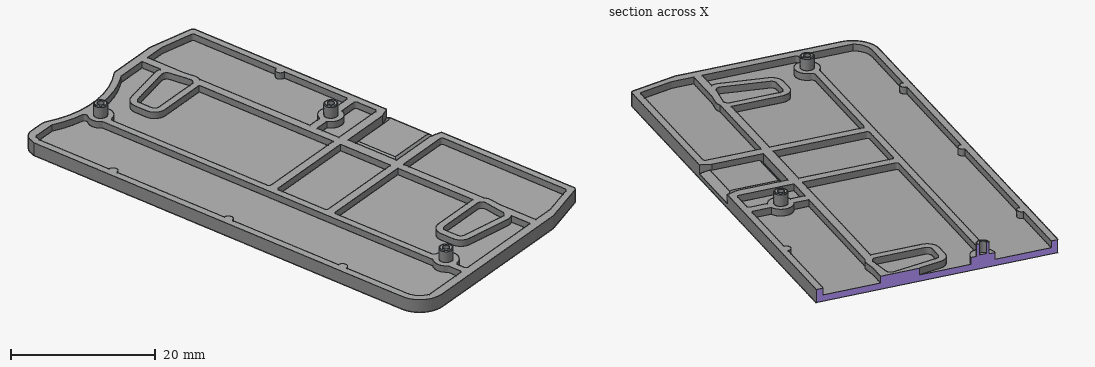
import cadquery as cq
import math

length = 70.3
width = 36.5
plate_height = 2.1
floor_height = 1.05

corner_run = 1.75
corner_drop = 7.45
corner_fillet = 0.55
bite_low_y = 5.0
bite_high_y = 20.95
bite_depth = 2.4
bite_low_fillet = 1.75
bite_high_fillet = 0.6
left_corner_height = 2.2
left_corner_length = 2.2
left_corner_radius = 2.0
left_corner_arc_run = 1.2
right_corner_radius = 4.0

side_wall = 1.35
edge_wall = 1.05
middle_rib_y = (25.5, 26.8)
lower_rib_y = (10.05, 11.1)
left_rib_x = (34.65, 35.9)
right_rib_x = (44.65, 45.9)
short_rib_x = (29.6, 30.85)
pocket_fillet = 0.35

boss_radius = 1.8
boss_fillet = 0.55
pin_radius = 1.0
pin_top = 4.0
pin_chamfer = 0.15
pin_hole_radius = 0.5
pin_hole_depth = 1.75
lower_boss_y = 11.3
lower_boss_inset = 5.05
lower_boss_centres = [(x, lower_boss_y) for x in (lower_boss_inset, length - lower_boss_inset)]
upper_boss_y = 30.7
upper_boss_centre = (sum(short_rib_x) / 2, upper_boss_y)
boss_centres = lower_boss_centres + [upper_boss_centre]

bump_radius = 0.7
lower_bump_x = (15.1, 35.2, 55.1)
upper_bump_x = 17.8

loop_points = [(5.35, 25.4), (10.25, 26.1), (10.25, 17.0), (6.8, 17.0)]
loop_fillet = 0.8
loop_wall = 1.05

recess_x = (36.05, 44.5)
recess_y = 27.1
recess_flare = 0.55
recess_flare_y = 34.8
recess_floor = 0.7
table_top = 1.75
table_bevel_width = 1.0
table_foot = 0.01

pick_margin = 0.01


def outer_outline():
    bite_mid_y = (bite_low_y + bite_high_y) / 2
    sweep = math.acos(1 - left_corner_arc_run / left_corner_radius)

    def corner_point(angle):
        return (
            left_corner_radius * (1 - math.cos(angle)),
            left_corner_height - left_corner_radius * math.sin(angle),
        )

    return (
        cq.Workplane("XY")
        .moveTo(left_corner_length, 0)
        .lineTo(length - right_corner_radius, 0)
        .radiusArc((length, right_corner_radius), -right_corner_radius)
        .lineTo(length, width - corner_drop)
        .lineTo(length - corner_run, width)
        .lineTo(corner_run, width)
        .lineTo(0, width - corner_drop)
        .lineTo(0, bite_high_y)
        .threePointArc((bite_depth, bite_mid_y), (0, bite_low_y))
        .lineTo(0, left_corner_height)
        .threePointArc(corner_point(sweep / 2), corner_point(sweep))
        .close()
    )


def full_height(sketch):
    return sketch.extrude(plate_height)


def block(x_range, y_range):
    size_x = x_range[1] - x_range[0]
    size_y = y_range[1] - y_range[0]
    return full_height(
        cq.Workplane("XY", origin=(x_range[0], y_range[0], 0)).rect(size_x, size_y, centered=False)
    )


def posts(centres, radius):
    return full_height(cq.Workplane("XY").pushPoints(centres).circle(radius))


def fillet_upright_edges(solid, x_range, y_range, radius):
    """Round the upright edges whose middle lies inside the given ranges."""
    box = cq.selectors.BoxSelector((x_range[0], y_range[0], 0), (x_range[1], y_range[1], plate_height))
    return solid.edges("|Z").edges(box).fillet(radius)


def with_mirror(solid):
    return solid.union(solid.mirror("YZ", (length / 2, 0, 0)))


def make_plate():
    plate = full_height(outer_outline())
    rounded_corners = [
        (corner_run, width, corner_fillet),
        (length - corner_run, width, corner_fillet),
        (0, bite_low_y, bite_low_fillet),
        (0, bite_high_y, bite_high_fillet),
    ]
    for x, y, radius in rounded_corners:
        nearest = cq.selectors.NearestToPointSelector((x, y, plate_height / 2))
        plate = plate.edges(nearest).fillet(radius)
    return plate


def make_loop_core():
    return full_height(cq.Workplane("XY").polyline(loop_points).close()).edges("|Z").fillet(loop_fillet)


def make_loop_body():
    return full_height(make_loop_core().faces("<Z").wires().toPending().offset2D(loop_wall))


def make_pockets():
    """All the space between the rim, ribs, bosses, bumps and loops."""
    pockets = full_height(outer_outline().offset2D(-edge_wall))
    pockets = pockets.intersect(block((side_wall, length - side_wall), (0, width)))

    ribs = [
        ((0, length), middle_rib_y),
        ((0, length), lower_rib_y),
        (left_rib_x, (lower_rib_y[0], width)),
        (right_rib_x, (lower_rib_y[0], width)),
        (short_rib_x, (middle_rib_y[0], width)),
    ]
    for x_range, y_range in ribs:
        pockets = pockets.cut(block(x_range, y_range))

    pockets = pockets.cut(block((left_rib_x[0], right_rib_x[1]), (middle_rib_y[0], width)))
    pockets = pockets.cut(posts(boss_centres, boss_radius))

    for x, y in lower_boss_centres:
        beside_boss = (x - boss_radius - pick_margin, x + boss_radius + pick_margin)
        above_rib = (lower_rib_y[1] - pick_margin, y + boss_radius)
        pockets = fillet_upright_edges(pockets, beside_boss, above_rib, boss_fillet)

    corner_rows = [
        ((0, length), width - edge_wall),
        ((0, length), lower_rib_y[0]),
        ((left_rib_x[0] - pick_margin, right_rib_x[1] + pick_margin), lower_rib_y[1]),
        ((length - side_wall - pick_margin, length), lower_rib_y[1]),
    ]
    for x_range, y in corner_rows:
        pockets = fillet_upright_edges(pockets, x_range, (y - pick_margin, y + pick_margin), pocket_fillet)

    bump_centres = [(x, edge_wall) for x in lower_bump_x] + [(upper_bump_x, width - edge_wall)]
    pockets = pockets.cut(posts(bump_centres, bump_radius))
    pockets = pockets.cut(with_mirror(make_loop_body())).union(with_mirror(make_loop_core()))
    return pockets.translate((0, 0, floor_height))


def recess_prism(bottom, top):
    outline = [
        (recess_x[0], recess_y),
        (recess_x[1], recess_y),
        (recess_x[1], recess_flare_y),
        (recess_x[1] + recess_flare, width),
        (recess_x[0] - recess_flare, width),
        (recess_x[0], recess_flare_y),
    ]
    return cq.Workplane("XY", origin=(0, 0, bottom)).polyline(outline).close().extrude(top - bottom)


def make_table():
    bevel_height = table_top - recess_floor - table_foot
    return recess_prism(recess_floor, table_top).faces(">Z").chamfer(bevel_height, table_bevel_width)


def make_pin(x, y):
    pin = cq.Workplane("XY", origin=(x, y, floor_height)).circle(pin_radius).extrude(pin_top - floor_height)
    return pin.faces(">Z").chamfer(pin_chamfer)


def make_pin_hole(x, y):
    bottom = pin_top - pin_hole_depth
    return cq.Workplane("XY", origin=(x, y, bottom)).circle(pin_hole_radius).extrude(pin_hole_depth)


result = make_plate().cut(make_pockets())
result = result.cut(recess_prism(recess_floor, plate_height)).union(make_table())
for boss_x, boss_y in boss_centres:
    result = result.union(make_pin(boss_x, boss_y)).cut(make_pin_hole(boss_x, boss_y))